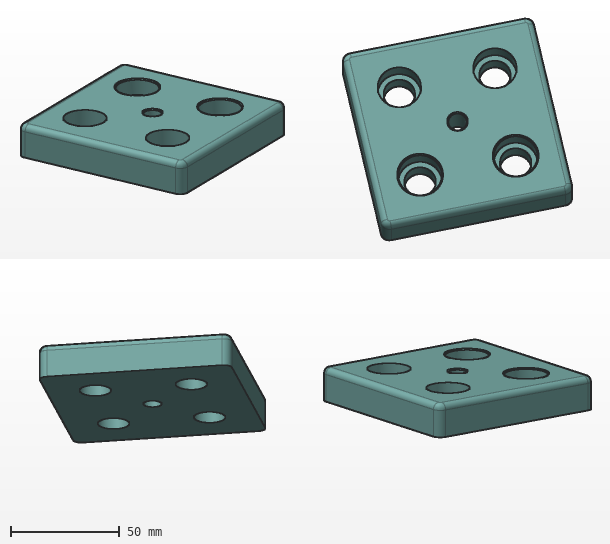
import cadquery as cq

plate_side = 90.0
plate_height = 16.0
corner_radius = 4.0
top_edge_radius = 3.0

hole_spacing = plate_side / 2
hole_diameter = 14.5
counterbore_diameter = 20.0
counterbore_depth = 8.0

center_hole_diameter = 8.38

rim_chamfer = 0.6


def rounded_plate():
    """Square plate standing on Z = 0, with rounded corners and a rounded top edge."""
    plate = cq.Workplane("XY").box(plate_side, plate_side, plate_height, centered=(True, True, False))
    plate = plate.edges("|Z").fillet(corner_radius)
    return plate.faces(">Z").edges().fillet(top_edge_radius)


def bore(x, y, diameter, depth):
    """Cylinder reaching down from the top face, to be cut away."""
    return cq.Workplane("XY", origin=(x, y, plate_height)).circle(diameter / 2).extrude(-depth)


def rim_cone(x, y, diameter):
    """Cone that cuts a 45 degree chamfer around the top rim of a bore."""
    cone = cq.Solid.makeCone(
        diameter / 2,
        diameter / 2 + rim_chamfer,
        rim_chamfer,
        pnt=cq.Vector(x, y, plate_height - rim_chamfer),
    )
    return cq.Workplane(obj=cone)


def cut_counterbored_hole(body, x, y):
    body = body.cut(bore(x, y, hole_diameter, plate_height))
    return body.cut(bore(x, y, counterbore_diameter, counterbore_depth))


result = rounded_plate()

front_y = -hole_spacing / 2
rear_y = hole_spacing / 2
for hole_x in (-hole_spacing / 2, hole_spacing / 2):
    result = cut_counterbored_hole(result, hole_x, front_y)
    result = cut_counterbored_hole(result, hole_x, rear_y)
    result = result.cut(rim_cone(hole_x, rear_y, counterbore_diameter))

result = result.cut(bore(0, 0, center_hole_diameter, plate_height))
result = result.cut(rim_cone(0, 0, center_hole_diameter))